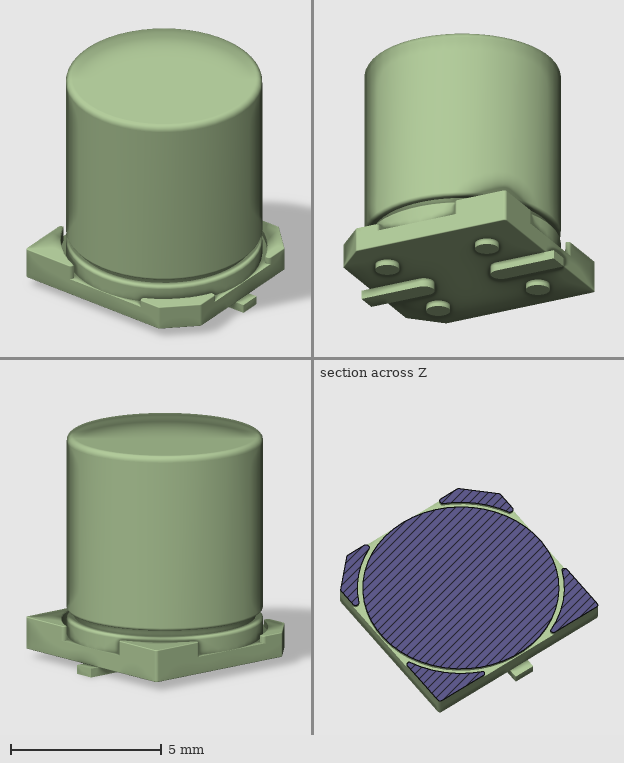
import cadquery as cq

TOTAL_HEIGHT = 7.7

BASE_WIDTH = 6.6
BASE_BOTTOM = 0.3
FLOOR_TOP = 0.885
CORNER_CHAMFER = 1.0
CORNER_RADIUS = 0.1
EDGE_RADIUS = 0.03

TALL_BLOCK_TOP = 1.39
LOW_BLOCK_TOP = 1.14
TALL_BLOCK_START = 1.38
LOW_BLOCK_START = 1.48
SEAT_RADIUS = 3.44

CAN_DIAMETER = 6.55
GROOVE_DIAMETER = 6.05
GROOVE_BOTTOM = 1.5
GROOVE_TOP = 1.73
GROOVE_LIP_RADIUS = 0.1
CAN_TOP_RADIUS = 0.2

LEAD_SPAN = 7.2
LEAD_LENGTH = 2.51
LEAD_WIDTH = 0.72

PEG_DIAMETER = 0.8
PEG_BOTTOM = 0.1
PEG_OFFSET = 1.86

HALF_BASE = BASE_WIDTH / 2
CHAMFER_START = HALF_BASE - CORNER_CHAMFER
CAN_RADIUS = CAN_DIAMETER / 2
GROOVE_RADIUS = GROOVE_DIAMETER / 2


def base_plate():
    """Square plate under the can, with its two +X corners cut at 45 degrees."""
    outline = [
        (-HALF_BASE, -HALF_BASE),
        (CHAMFER_START, -HALF_BASE),
        (HALF_BASE, -CHAMFER_START),
        (HALF_BASE, CHAMFER_START),
        (CHAMFER_START, HALF_BASE),
        (-HALF_BASE, HALF_BASE),
    ]
    plate = (
        cq.Workplane("XY", origin=(0, 0, BASE_BOTTOM))
        .polyline(outline)
        .close()
        .extrude(FLOOR_TOP - BASE_BOTTOM)
    )
    plate = plate.edges("|Z").fillet(CORNER_RADIUS)
    return plate.faces("<Z").edges().fillet(EDGE_RADIUS)


def corner_block(outline, top):
    """Raised corner block, hollowed by the round seat around the can."""
    height = top - BASE_BOTTOM - EDGE_RADIUS
    bottom = cq.Workplane("XY", origin=(0, 0, BASE_BOTTOM + EDGE_RADIUS))
    block = bottom.polyline(outline).close().extrude(height)
    block = block.edges("|Z").fillet(CORNER_RADIUS)
    block = block.cut(bottom.circle(SEAT_RADIUS).extrude(height))
    return block.faces(">Z").edges().fillet(EDGE_RADIUS)


def tall_block():
    """Tall square block at the -X, +Y corner."""
    outline = [
        (-TALL_BLOCK_START, TALL_BLOCK_START),
        (-TALL_BLOCK_START, HALF_BASE),
        (-HALF_BASE, HALF_BASE),
        (-HALF_BASE, TALL_BLOCK_START),
    ]
    return corner_block(outline, TALL_BLOCK_TOP)


def low_block():
    """Low chamfered block at the +X, +Y corner."""
    outline = [
        (LOW_BLOCK_START, LOW_BLOCK_START),
        (HALF_BASE, LOW_BLOCK_START),
        (HALF_BASE, CHAMFER_START),
        (CHAMFER_START, HALF_BASE),
        (LOW_BLOCK_START, HALF_BASE),
    ]
    return corner_block(outline, LOW_BLOCK_TOP)


def disc(radius, bottom, top):
    """Round disc on the can axis between two heights."""
    return cq.Workplane("XY", origin=(0, 0, bottom)).circle(radius).extrude(top - bottom)


def can():
    """Round can with a crimp groove near its foot."""
    foot = disc(CAN_RADIUS, FLOOR_TOP, GROOVE_BOTTOM)
    foot = foot.faces(">Z").edges().fillet(GROOVE_LIP_RADIUS)
    neck = disc(GROOVE_RADIUS, FLOOR_TOP, GROOVE_TOP)
    shell = disc(CAN_RADIUS, GROOVE_TOP, TOTAL_HEIGHT)
    shell = shell.faces("<Z").edges().fillet(GROOVE_LIP_RADIUS)
    shell = shell.faces(">Z").edges().fillet(CAN_TOP_RADIUS)
    return foot.union(neck).union(shell)


def lead():
    """Flat lead on the +X side with a fully rounded inner end."""
    half_width = LEAD_WIDTH / 2
    outer_end = LEAD_SPAN / 2
    inner_end = outer_end - LEAD_LENGTH
    return (
        cq.Workplane("XY")
        .moveTo(outer_end, -half_width)
        .lineTo(outer_end, half_width)
        .lineTo(inner_end + half_width, half_width)
        .threePointArc((inner_end, 0), (inner_end + half_width, -half_width))
        .close()
        .extrude(BASE_BOTTOM)
    )


def pegs():
    """Four round standoff pegs under the base."""
    return (
        cq.Workplane("XY", origin=(0, 0, PEG_BOTTOM))
        .rect(2 * PEG_OFFSET, 2 * PEG_OFFSET, forConstruction=True)
        .vertices()
        .circle(PEG_DIAMETER / 2)
        .extrude(BASE_BOTTOM - PEG_BOTTOM)
    )


result = base_plate()
for block in (tall_block(), low_block()):
    result = result.union(block).union(block.mirror("XZ"))
result = result.union(can()).union(pegs())
result = result.union(lead()).union(lead().mirror("YZ"))